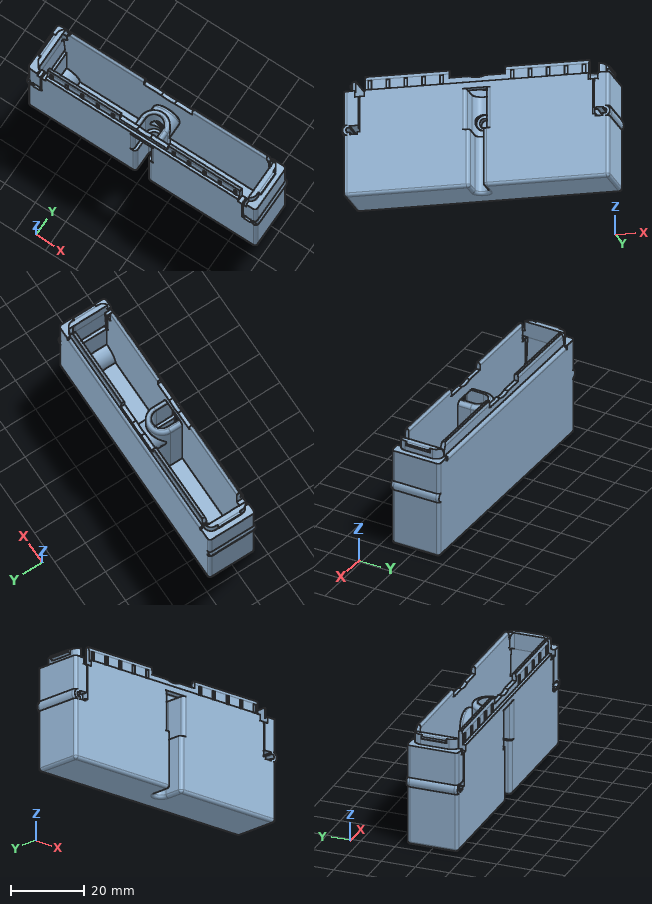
import cadquery as cq
import math

RIB_SPAN = 75.9
LENGTH = 74.8
WIDTH = 15.0
BODY_TOP = 29.9
PART_TOP = 34.0
EDGE_RADIUS = 0.9
WALL = 2.1
FLOOR = 1.5

HALF_LENGTH = LENGTH / 2
HALF_WIDTH = WIDTH / 2
INNER_Y = HALF_WIDTH - WALL

CAVITY_HALF = 33.25
TAB_CAVITY_HALF = 33.7
RIM_CAVITY_HALF = 34.2
SHOULDER_RADIUS = 4.4
RIM_CORNER_RADIUS = 0.9

SLOT_WIDTH = 0.45
SLOT_BOTTOM = 18.15
SLOT_TOP = 19.95
HINGE_TOP = 19.5
HINGE_END = 36.65
HINGE_STEP = 35.7
HINGE_RADIUS = 0.6
SLOT_CORNER_RADIUS = 0.45
SLOT_EDGE = CAVITY_HALF - SLOT_WIDTH
POCKET_INNER = 33.55
POCKET_OUTER = 35.6
POCKET_DEPTH = 0.6

RIB_HEIGHT = 2.8
RIB_Z = 18.8

PLATE_OUTER_Y = 6.6
PLATE_HALF = 31.5
PLATE_CHAMFER_HEIGHT = 1.0
PLATE_CREST_Y = 6.4
PLATE_INNER_ROUNDING = 0.6
GAP_HALF = 7.9
GAP_Z = 31.9
DIP_HALF = 2.2
DIP_DEPTH = 0.45
NOTCH_Z = 28.15
BACK_PLATE_HALF = 32.2
BACK_PLATE_BEVEL_Z = 31.35
BACK_WALL_ROUNDING = 0.9
BACK_SLIT_Z = 28.8
BACK_SLIT_WIDTH = 0.2

BAR_COUNT = 5
BAR_PITCH = 5.05
BAR_FIRST_X = 9.95
BAR_WIDTH = 0.9
BAR_OUTER_Y = 6.8
BAR_BOTTOM = 30.3
BAR_TOP = 32.7

CLIP_OUTER = 35.7
CLIP_HALF_WIDTH = 6.5
CLIP_RADIUS = 2.3
CLIP_TOP = 32.95
NUB_OUTER = 36.4
NUB_HALF_WIDTH = 3.65
NUB_BOTTOM = 31.6
NUB_TIP_BOTTOM = 32.1
NUB_TIP_TOP = 32.7

CHANNEL_CENTER_Y = -1.5
LOWER_CHANNEL_RADIUS = 1.9
UPPER_CHANNEL_RADIUS = 2.8
CHANNEL_STEP_Z = 16.5
CHANNEL_TOP = NOTCH_Z
MOUTH_RADIUS = 1.0
SHROUD_RADIUS = 4.4
SHROUD_ROUNDING = 1.15
BOSS_RADIUS = 4.25
BOSS_ROUNDING = 0.9
SCREW_Z = 20.8
COUNTERBORE_RADIUS = 2.3
COUNTERBORE_Y = 1.8
SCREW_RADIUS = 1.4
SCREW_END_Y = 3.8


def block(x0, x1, y0, y1, z0, z1):
    """Box between two opposite corners."""
    return cq.Workplane("XY").box(x1 - x0, y1 - y0, z1 - z0, centered=False).translate((x0, y0, z0))


def along_y(sketch, y0, y1):
    """Extrude an XZ outline from y0 to y1."""
    return sketch.extrude(-(y1 - y0)).translate((0, y0, 0))


def across_x(sketch, half_length):
    """Extrude a YZ outline equally to both sides of the middle."""
    return sketch.extrude(2 * half_length).translate((-half_length, 0, 0))


def both_ends(left):
    """Join a left-end solid with its mirror image at the right end."""
    return left.union(left.mirror("YZ"))


def outer_body():
    """Block with its rounded bottom edge carried around the lower screw channel."""
    body = cq.Workplane("XY").rect(LENGTH, WIDTH).extrude(BODY_TOP).edges("|Z").fillet(EDGE_RADIUS)
    body = body.cut(channel(LOWER_CHANNEL_RADIUS, 0, CHANNEL_STEP_Z))
    return body.faces("<Z").edges().fillet(EDGE_RADIUS)


def rib_outline(root_x):
    """XZ outline of the bulged left rib, starting inside the end wall at root_x."""
    z0 = RIB_Z - RIB_HEIGHT / 2
    z1 = RIB_Z + RIB_HEIGHT / 2
    outline = cq.Workplane("XZ").moveTo(root_x, z0).lineTo(-HALF_LENGTH, z0)
    return outline.threePointArc((-RIB_SPAN / 2, RIB_Z), (-HALF_LENGTH, z1)).lineTo(root_x, z1).close()


def end_ribs():
    """Bulged ribs across both ends, turned around the vertical corners and trimmed flush."""
    corner_x = EDGE_RADIUS - HALF_LENGTH
    corner_y = HALF_WIDTH - EDGE_RADIUS
    rib = along_y(rib_outline(corner_x), -corner_y, corner_y)
    corner = rib_outline(corner_x).revolve(360, (corner_x, 0), (corner_x, 1))
    envelope = block(-RIB_SPAN / 2, 0, -HALF_WIDTH, HALF_WIDTH, 0, BODY_TOP)
    front_corner = corner.translate((0, -corner_y, 0)).intersect(envelope)
    rib = rib.union(front_corner).union(front_corner.mirror("XZ"))
    return both_ends(rib)


def clips():
    """End clips with a snap nub outside and a bevel towards the back plate."""
    clip = block(-CLIP_OUTER, CLIP_OUTER, -CLIP_HALF_WIDTH, CLIP_HALF_WIDTH, BODY_TOP, CLIP_TOP)
    clip = clip.edges("|Z").fillet(CLIP_RADIUS)
    middle = cq.Workplane("XZ").polyline([
        (-CAVITY_HALF, BODY_TOP), (-CAVITY_HALF, BACK_PLATE_BEVEL_Z), (-RIM_CAVITY_HALF, CLIP_TOP),
        (RIM_CAVITY_HALF, CLIP_TOP), (CAVITY_HALF, BACK_PLATE_BEVEL_Z), (CAVITY_HALF, BODY_TOP),
    ]).close()
    clip = clip.cut(along_y(middle, -HALF_WIDTH, HALF_WIDTH))
    nub = cq.Workplane("XZ").polyline([
        (-RIM_CAVITY_HALF, NUB_BOTTOM), (-CLIP_OUTER, NUB_BOTTOM), (-NUB_OUTER, NUB_TIP_BOTTOM),
        (-NUB_OUTER, NUB_TIP_TOP), (-CLIP_OUTER, CLIP_TOP), (-RIM_CAVITY_HALF, CLIP_TOP),
    ]).close()
    return clip.union(both_ends(along_y(nub, -NUB_HALF_WIDTH, NUB_HALF_WIDTH)))


def plate(half_length):
    """Upright plate over the front wall, rounded inside and bevelled outside at its crest."""
    crest_inner = INNER_Y + PLATE_INNER_ROUNDING
    outline = cq.Workplane("YZ").moveTo(-INNER_Y, NOTCH_Z)
    outline = outline.lineTo(-INNER_Y, PART_TOP - PLATE_INNER_ROUNDING)
    outline = outline.radiusArc((-crest_inner, PART_TOP), -PLATE_INNER_ROUNDING)
    outline = outline.lineTo(-PLATE_CREST_Y, PART_TOP)
    outline = outline.lineTo(-PLATE_OUTER_Y, PART_TOP - PLATE_CHAMFER_HEIGHT)
    return across_x(outline.lineTo(-PLATE_OUTER_Y, NOTCH_Z).close(), half_length)


def back_edge_rounding():
    """Sliver that rounds the outer top edge of the back wall between the tabs."""
    y0 = HALF_WIDTH - BACK_WALL_ROUNDING
    z0 = BODY_TOP - BACK_WALL_ROUNDING
    sliver = block(-SLOT_EDGE, SLOT_EDGE, y0, HALF_WIDTH, z0, BODY_TOP)
    core = across_x(cq.Workplane("YZ").center(y0, z0).circle(BACK_WALL_ROUNDING), SLOT_EDGE)
    return sliver.cut(core)


def back_plate():
    """Plate over the back wall, with ends that lean inwards."""
    silhouette = cq.Workplane("XZ").polyline([
        (-CAVITY_HALF, NOTCH_Z), (-CAVITY_HALF, BACK_PLATE_BEVEL_Z), (-BACK_PLATE_HALF, PART_TOP),
        (BACK_PLATE_HALF, PART_TOP), (CAVITY_HALF, BACK_PLATE_BEVEL_Z), (CAVITY_HALF, NOTCH_Z),
    ]).close()
    upright = plate(CAVITY_HALF).mirror("XZ")
    return upright.intersect(along_y(silhouette, 0, HALF_WIDTH))


def plate_gap():
    """Lowered middle of both plates with a shallow central dip."""
    gap = cq.Workplane("XZ").moveTo(-GAP_HALF, PART_TOP).lineTo(-GAP_HALF, GAP_Z).lineTo(-DIP_HALF, GAP_Z)
    gap = gap.threePointArc((0, GAP_Z - DIP_DEPTH), (DIP_HALF, GAP_Z))
    gap = gap.lineTo(GAP_HALF, GAP_Z).lineTo(GAP_HALF, PART_TOP).close()
    return along_y(gap, -HALF_WIDTH, HALF_WIDTH)


def grip_bars():
    """Rows of short bars on the outside of the front plate."""
    bars = cq.Workplane("XY")
    for i in range(BAR_COUNT):
        x = BAR_FIRST_X + i * BAR_PITCH
        bar = block(x - BAR_WIDTH / 2, x + BAR_WIDTH / 2, -BAR_OUTER_Y, -INNER_Y, BAR_BOTTOM, BAR_TOP)
        bars = bars.union(both_ends(bar))
    return bars


def cavity():
    """Interior with quarter-round shoulders on the floor and leaning tab walls above the slots."""
    lower = block(-CAVITY_HALF, CAVITY_HALF, -INNER_Y, INNER_Y, FLOOR, PART_TOP)
    shoulder_outline = cq.Workplane("XZ").center(-CAVITY_HALF, FLOOR).circle(SHOULDER_RADIUS)
    shoulder = along_y(shoulder_outline, -INNER_Y, INNER_Y)
    lower = lower.cut(both_ends(shoulder))
    tabs = cq.Workplane("XZ").polyline([
        (-TAB_CAVITY_HALF, SLOT_TOP), (-RIM_CAVITY_HALF, NOTCH_Z),
        (RIM_CAVITY_HALF, NOTCH_Z), (TAB_CAVITY_HALF, SLOT_TOP),
    ]).close()
    rim = block(-RIM_CAVITY_HALF, RIM_CAVITY_HALF, -INNER_Y, INNER_Y, NOTCH_Z, PART_TOP)
    rim = rim.edges("|Z and >Y").fillet(RIM_CORNER_RADIUS)
    return lower.union(along_y(tabs, -INNER_Y, INNER_Y)).union(rim)


def tab_slots():
    """L-shaped slots from the front face to the inside of the back wall."""
    upright = block(-CAVITY_HALF, -SLOT_EDGE, -HALF_WIDTH, -INNER_Y, SLOT_BOTTOM, NOTCH_Z)
    foot = block(-HINGE_STEP, -SLOT_EDGE, -HALF_WIDTH, INNER_Y, SLOT_BOTTOM, SLOT_TOP)
    foot = foot.edges("|Y and >X and <Z").fillet(SLOT_CORNER_RADIUS)
    hinge = block(-HINGE_END, -CAVITY_HALF, -HALF_WIDTH, INNER_Y, SLOT_BOTTOM, HINGE_TOP)
    hinge = hinge.edges("|Y and <X").fillet(HINGE_RADIUS)
    pocket_floor = SLOT_BOTTOM - POCKET_DEPTH
    pocket = block(-POCKET_OUTER, -POCKET_INNER, -HALF_WIDTH, -INNER_Y, pocket_floor, SLOT_BOTTOM)
    return both_ends(upright.union(foot).union(hinge).union(pocket))


def wall_notches():
    """Front corner notches and narrow slits at the ends of the back plate."""
    front = block(-RIM_CAVITY_HALF, -PLATE_HALF, -HALF_WIDTH, -INNER_Y, NOTCH_Z, PART_TOP)
    slit = block(-CAVITY_HALF, BACK_SLIT_WIDTH - CAVITY_HALF, INNER_Y, HALF_WIDTH, BACK_SLIT_Z, PART_TOP)
    return both_ends(front.union(slit))


def channel(radius, z0, z1):
    """U-shaped groove open at the front, with rounded mouth edges."""
    diagonal = MOUTH_RADIUS * (1 - math.sqrt(0.5))
    lip_y = MOUTH_RADIUS - HALF_WIDTH
    outline = cq.Workplane("XY").moveTo(-radius - MOUTH_RADIUS, -HALF_WIDTH)
    outline = outline.threePointArc((-radius - diagonal, diagonal - HALF_WIDTH), (-radius, lip_y))
    outline = outline.lineTo(-radius, CHANNEL_CENTER_Y)
    outline = outline.threePointArc((0, CHANNEL_CENTER_Y + radius), (radius, CHANNEL_CENTER_Y))
    outline = outline.lineTo(radius, lip_y)
    corner = (radius + MOUTH_RADIUS, -HALF_WIDTH)
    outline = outline.threePointArc((radius + diagonal, diagonal - HALF_WIDTH), corner)
    return outline.close().extrude(z1 - z0).translate((0, 0, z0))


def y_cylinder(radius, y0, y1):
    """Cylinder on the screw axis."""
    return along_y(cq.Workplane("XZ").center(0, SCREW_Z).circle(radius), y0, y1)


def screw_housing():
    """Shroud around the channel and the boss that ties it to the back wall."""
    shroud = cq.Workplane("XY").moveTo(-SHROUD_RADIUS, -INNER_Y).lineTo(-SHROUD_RADIUS, CHANNEL_CENTER_Y)
    shroud = shroud.threePointArc((0, CHANNEL_CENTER_Y + SHROUD_RADIUS), (SHROUD_RADIUS, CHANNEL_CENTER_Y))
    shroud = shroud.lineTo(SHROUD_RADIUS, -INNER_Y).close().extrude(CHANNEL_TOP - FLOOR)
    shroud = shroud.translate((0, 0, FLOOR)).faces(">Z").edges("not <Y").fillet(SHROUD_ROUNDING)
    boss = y_cylinder(BOSS_RADIUS, CHANNEL_CENTER_Y, INNER_Y).faces(">Y").edges().fillet(BOSS_ROUNDING)
    return shroud.union(boss)


def screw_voids():
    """Stepped channel with the counterbored screw hole at its back."""
    lower = channel(LOWER_CHANNEL_RADIUS, FLOOR, CHANNEL_STEP_Z)
    upper = channel(UPPER_CHANNEL_RADIUS, CHANNEL_STEP_Z, CHANNEL_TOP)
    counterbore = y_cylinder(COUNTERBORE_RADIUS, CHANNEL_CENTER_Y, COUNTERBORE_Y)
    screw = y_cylinder(SCREW_RADIUS, CHANNEL_CENTER_Y, SCREW_END_Y)
    return lower.union(upper).union(counterbore).union(screw)


shell = outer_body().union(end_ribs()).union(clips())
shell = shell.cut(cavity()).cut(tab_slots()).cut(back_edge_rounding())
plates = plate(PLATE_HALF).union(grip_bars()).union(back_plate()).cut(plate_gap())
result = shell.union(plates).cut(wall_notches()).union(screw_housing()).cut(screw_voids())